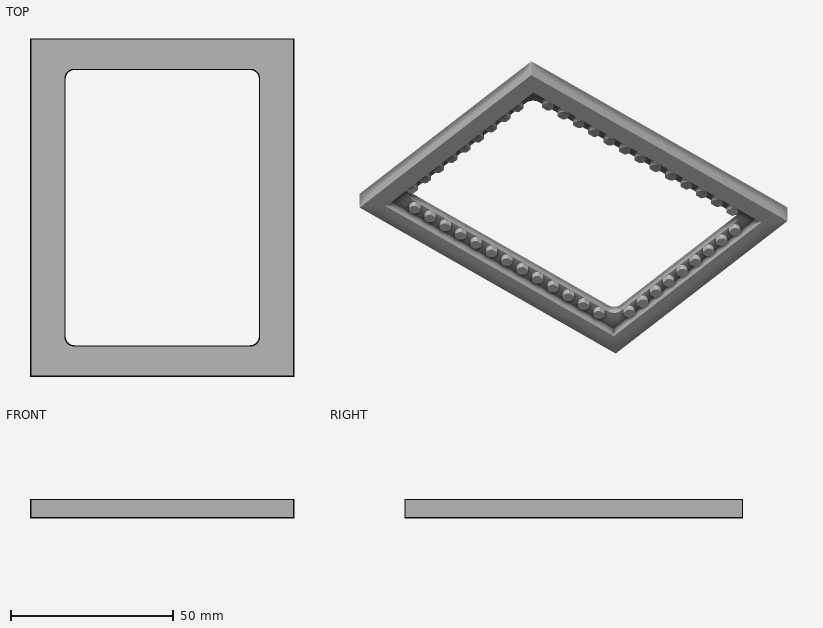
import cadquery as cq

frame_x = 81.2
frame_y = 104.1
frame_height = 5.7

opening_x = 59.9
opening_y = 85.2
opening_corner_radius = 2.8

lip_thickness = 2.6
rim_width = 5.7
lip_underside = frame_height - lip_thickness

pin_diameter = 3.5
pin_pitch = 6.2
pin_length = 1.7
pins_along_x = 9
pins_along_y = 13
row_inset = 1.6
flat_setback = 0.1


def centred_block(size_x, size_y, height):
    """Block centred on the Z axis and standing on Z = 0."""
    return cq.Workplane("XY").box(size_x, size_y, height, centered=(True, True, False))


def row_positions(count):
    """Evenly pitched positions, symmetric about zero."""
    return [pin_pitch * (i - (count - 1) / 2) for i in range(count)]


def pin_centres():
    """Pin axes of the four rows; the corners stay free."""
    row_x = opening_x / 2 + row_inset
    row_y = opening_y / 2 + row_inset
    centres = []
    for side in (-1, 1):
        centres += [(x, side * row_y) for x in row_positions(pins_along_x)]
        centres += [(side * row_x, y) for y in row_positions(pins_along_y)]
    return centres


def make_pins():
    """Round pins with a flat facing the opening, rooted halfway up the lip."""
    pins = (
        cq.Workplane("XY", origin=(0, 0, lip_underside - pin_length))
        .pushPoints(pin_centres())
        .circle(pin_diameter / 2)
        .extrude(pin_length + lip_thickness / 2)
    )
    flats = centred_block(opening_x + 2 * flat_setback, opening_y + 2 * flat_setback, lip_underside)
    return pins.cut(flats)


frame = centred_block(frame_x, frame_y, frame_height)
recess = centred_block(frame_x - 2 * rim_width, frame_y - 2 * rim_width, lip_underside)
opening = centred_block(opening_x, opening_y, frame_height).edges("|Z").fillet(opening_corner_radius)

result = frame.cut(recess).union(make_pins()).cut(opening)